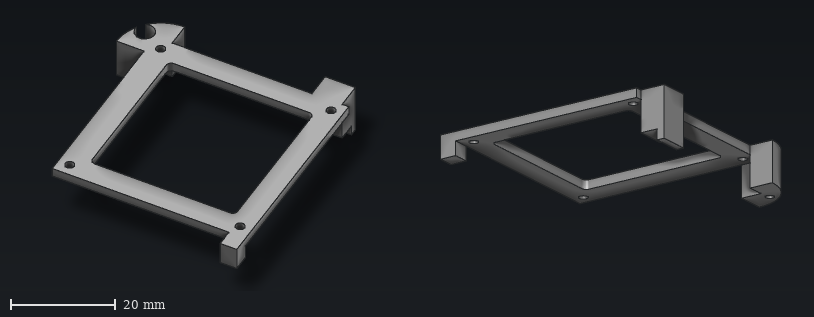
import cadquery as cq

overall_length = 51.0

frame_x = 41.9
frame_y = 42.0
plate_thickness = 2.0

window_left = 5.6
window_right = 37.0
window_front = 5.0
window_back = 37.05
window_corner_radius = 1.0

corner_hole_diameter = 1.9
corner_hole_inset = 2.5

ear_left = -6.0
ear_radius = 9.7
ear_height = 8.75
ear_center_x = ear_left + ear_radius
ear_center_y = 37.5

screw_x = -2.45
screw_y = 42.4
screw_hole_diameter = 1.8
counterbore_diameter = 4.1
counterbore_depth = 7.0

foot_width = 3.6
foot_length = 3.55
foot_height = 5.0

hook_left = 33.9
hook_width = 6.6
hook_length = overall_length - frame_y - foot_length
hook_block_height = ear_height
hook_height = 11.0
lip_thickness = 1.65


def box_below_top(left, front, width, length, height):
    """Box hanging down from the top face, placed by its front-left corner."""
    box = cq.Workplane("XY").box(width, length, height, centered=False)
    return box.translate((left, front, -height))


def cylinder_below_top(x, y, diameter, depth):
    """Vertical cylinder hanging down from the top face."""
    return cq.Workplane("XY").center(x, y).circle(diameter / 2).extrude(-depth)


def make_frame():
    """Plate with a round-cornered window."""
    plate = box_below_top(0, 0, frame_x, frame_y, plate_thickness)
    window = box_below_top(
        window_left,
        window_front,
        window_right - window_left,
        window_back - window_front,
        plate_thickness,
    )
    return plate.cut(window.edges("|Z").fillet(window_corner_radius))


def make_ear():
    """Quarter disc standing outside the frame, with a counterbored hole."""
    disc = cylinder_below_top(ear_center_x, ear_center_y, 2 * ear_radius, ear_height)
    quadrant = box_below_top(ear_left, ear_center_y, ear_radius, ear_radius, ear_height)
    frame_footprint = box_below_top(0, 0, frame_x, frame_y, ear_height)
    ear = disc.intersect(quadrant).cut(frame_footprint)
    ear = ear.cut(cylinder_below_top(screw_x, screw_y, screw_hole_diameter, ear_height))
    return ear.cut(cylinder_below_top(screw_x, screw_y, counterbore_diameter, counterbore_depth))


def make_foot():
    """Block in front of the frame, flush with its right side."""
    return box_below_top(frame_x - foot_width, -foot_length, foot_width, foot_length, foot_height)


def make_hook():
    """Block behind the frame with a lip reaching lower along its back face."""
    block = box_below_top(hook_left, frame_y, hook_width, hook_length, hook_block_height)
    lip_front = frame_y + hook_length - lip_thickness
    lip = box_below_top(hook_left, lip_front, hook_width, lip_thickness, hook_height)
    return block.union(lip)


result = make_frame().union(make_ear()).union(make_foot()).union(make_hook())

for hole_x in (corner_hole_inset, frame_x - corner_hole_inset):
    for hole_y in (corner_hole_inset, frame_y - corner_hole_inset):
        result = result.cut(cylinder_below_top(hole_x, hole_y, corner_hole_diameter, plate_thickness))